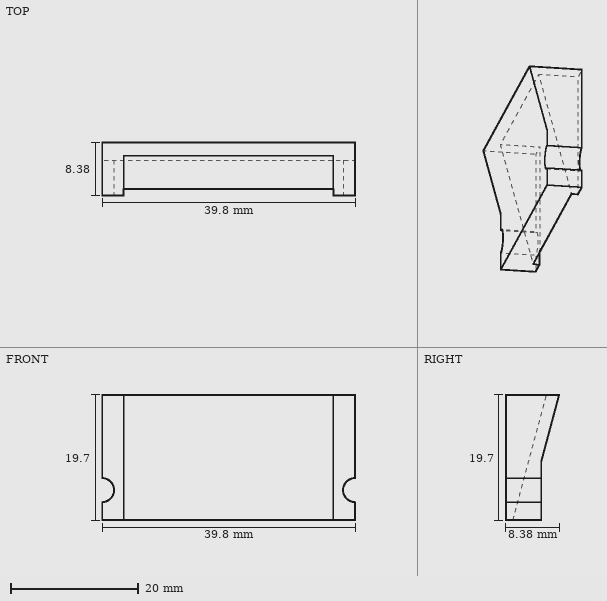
import cadquery as cq
import math

length = 39.8
height = 19.7
depth = 8.38

lean_angle = 15
wall_thickness = 2.0
base_depth = 5.58
cheek_width = 3.4

notch_radius = 1.88
notch_height = 4.73

lean_slope = math.tan(math.radians(lean_angle))
back_bend_height = height - (depth - base_depth) / lean_slope
recess_top_depth = depth - wall_thickness / math.cos(math.radians(lean_angle))
recess_bottom_depth = recess_top_depth - height * lean_slope


def extrude_profile(points, width):
    """Extrude a closed (Y, Z) outline along X, centered on the part's middle plane."""
    return cq.Workplane("YZ").polyline(points).close().extrude(width / 2, both=True)


def make_body():
    """Block with a flat front, a vertical lower back and a leaning upper back."""
    profile = [
        (0, 0),
        (base_depth, 0),
        (base_depth, back_bend_height),
        (depth, height),
        (0, height),
    ]
    return extrude_profile(profile, length)


def make_recess():
    """Front recess between the cheeks, with a floor parallel to the leaning back."""
    profile = [
        (0, 0),
        (recess_bottom_depth, 0),
        (recess_top_depth, height),
        (0, height),
    ]
    return extrude_profile(profile, length - 2 * cheek_width)


def make_notch(side):
    """Round cutter along Y, centered on an end face; side is -1 (left) or +1 (right)."""
    return (
        cq.Workplane("XZ")
        .center(side * length / 2, notch_height)
        .circle(notch_radius)
        .extrude(-depth)
    )


result = make_body().cut(make_recess())
for side in (-1, 1):
    result = result.cut(make_notch(side))